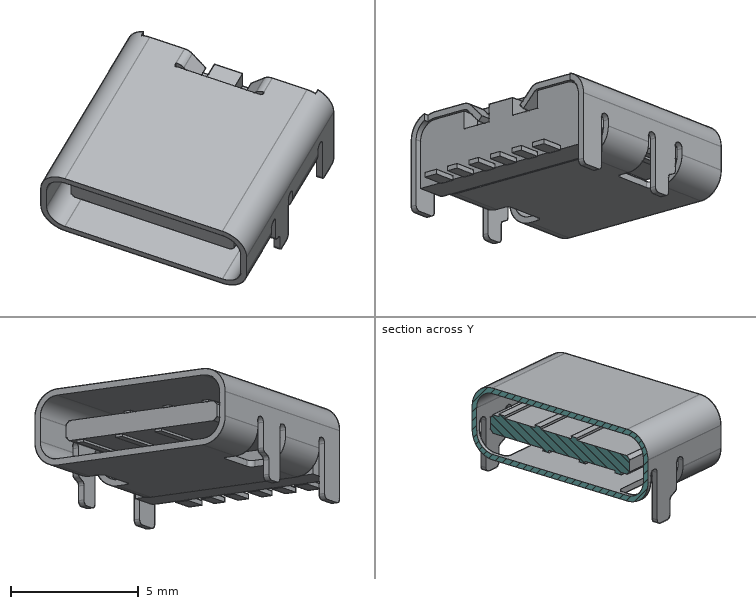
import cadquery as cq
import math

SHELL_WIDTH = 8.85
SHELL_HEIGHT = 3.065
SHELL_DEPTH = 8.37
SHELL_RADIUS = 1.04
SHEET = 0.26
SHELL_HALF = SHELL_WIDTH / 2

ROOF_END = 8.15
ROOF_CUT_HALF = 3.74
FLOOR_END = 6.86

LEG_BOTTOM = -0.91
SLOT_WIDTH = 0.4
SLOT_RADIUS = SLOT_WIDTH / 2
SLOT_TOP = 1.51
LEG_RADIUS = 0.2
REAR_LEG_FRONT = FLOOR_END + SLOT_WIDTH
WINDOW_FRONT = 2.39
WINDOW_REAR = 4.41
WINDOW_LENGTH = 1.65
WINDOW_RADIUS = 0.22
FRONT_LEG_FRONT = WINDOW_FRONT + SLOT_WIDTH
FRONT_LEG_REAR = WINDOW_REAR - SLOT_WIDTH
SHOULDER_WIDTH = 0.4
SHOULDER_TOP = 0.17
SHOULDER_BOTTOM = -0.01
SHOULDER_RADIUS = 0.165

NOTCH_HALF = 1.885
NOTCH_FRONT = 7.16
NOTCH_RADIUS = 0.06
TAB_FRONT = 7.34
TAB_END_X = 0.97
TAB_ANGLE = math.radians(45)
TAB_BEND_INNER = 0.21
TAB_BEND_OUTER = TAB_BEND_INNER + SHEET

INSERT_HALF = 4.13
INSERT_TOP = 2.745
INSERT_BOTTOM = 0.28
INSERT_RADIUS = 0.75
BASE_FRONT = 6.22
REAR_BLOCK_FRONT = 6.88
REAR_BLOCK_BOTTOM = 0.04
RIB_HALF = 0.6
POCKET_FLOOR = 2.01

TONGUE_WIDTH = 7.01
TONGUE_FRONT = 0.84
TONGUE_BOTTOM = 1.135
TONGUE_TOP = 1.94
TONGUE_CHAMFER = 0.15

CONTACT_WIDTH = 0.31
CONTACT_HEIGHT = 0.1
CONTACT_FRONT = TONGUE_FRONT + 0.09
TOP_CONTACT_XS = (-0.71, 1.11, 2.91)

PIN_END = 9.15
PIN_THICKNESS = 0.19
NARROW_PIN_WIDTH = 0.485
NARROW_PIN_XS = (-1.65, -0.55, 0.55, 1.65)
WIDE_PIN_WIDTH = 0.595
WIDE_PIN_XS = (-2.76, 2.76)


def box(x0, x1, y0, y1, z0, z1):
    """Box between two opposite corners."""
    return cq.Workplane("XY").box(x1 - x0, y1 - y0, z1 - z0, centered=False).translate((x0, y0, z0))


def rounded_bar(half_width, z0, z1, radius, y0, y1):
    """Bar along Y with a rounded rectangular section."""
    return box(-half_width, half_width, y0, y1, z0, z1).edges("|Y").fillet(radius)


def mirrored_pair(body):
    """A body together with its mirror image across the middle plane X = 0."""
    return body.union(body.mirror("YZ"))


def relief_slot(front):
    """Round-topped cutter through the right side wall, open downwards."""
    wall_x = SHELL_HALF - SHELL_RADIUS
    arc_z = SLOT_TOP - SLOT_RADIUS
    return (
        cq.Workplane("YZ", origin=(wall_x, 0, 0))
        .moveTo(front, 0)
        .lineTo(front, arc_z)
        .threePointArc((front + SLOT_RADIUS, SLOT_TOP), (front + SLOT_WIDTH, arc_z))
        .lineTo(front + SLOT_WIDTH, 0)
        .close()
        .extrude(SHELL_RADIUS)
    )


def floor_window():
    """Cutter for the lower right corner and floor strip that the front leg is bent from."""
    return (
        box(SHELL_HALF - WINDOW_LENGTH, SHELL_HALF, WINDOW_FRONT, WINDOW_REAR, 0, SHELL_RADIUS)
        .edges("|Z and <X").fillet(WINDOW_RADIUS)
    )


def rear_leg():
    """Right rear leg, a flat strip carrying the side wall down."""
    return (
        box(SHELL_HALF - SHEET, SHELL_HALF, REAR_LEG_FRONT, SHELL_DEPTH, LEG_BOTTOM, SHELL_RADIUS)
        .edges("|X and <Z").fillet(LEG_RADIUS)
    )


def front_leg():
    """Right front leg, narrowed on its front edge by a sloping shoulder with rounded corners."""
    tip_front = FRONT_LEG_FRONT + SHOULDER_WIDTH
    shoulder_corners = cq.selectors.BoxSelector(
        (0, FRONT_LEG_FRONT - SHOULDER_RADIUS, SHOULDER_BOTTOM - SHOULDER_RADIUS),
        (SHELL_HALF, tip_front + SHOULDER_RADIUS, SHOULDER_TOP + SHOULDER_RADIUS),
    )
    return (
        cq.Workplane("YZ", origin=(SHELL_HALF - SHEET, 0, 0))
        .moveTo(FRONT_LEG_REAR, SHELL_RADIUS)
        .lineTo(FRONT_LEG_FRONT, SHELL_RADIUS)
        .lineTo(FRONT_LEG_FRONT, SHOULDER_TOP)
        .lineTo(tip_front, SHOULDER_BOTTOM)
        .lineTo(tip_front, LEG_BOTTOM)
        .lineTo(FRONT_LEG_REAR, LEG_BOTTOM)
        .close()
        .extrude(SHEET)
        .edges("|X").edges(shoulder_corners).fillet(SHOULDER_RADIUS)
        .edges("|X and <Z").fillet(LEG_RADIUS)
    )


def roof_tab():
    """Right roof tab, bent down from the notch side towards the middle."""
    bend_z = SHELL_HEIGHT - TAB_BEND_OUTER

    def on_bend(radius, angle):
        return (NOTCH_HALF - radius * math.sin(angle), bend_z + radius * math.cos(angle))

    bend_end_x, bend_end_z = on_bend(TAB_BEND_OUTER, TAB_ANGLE)
    tip_top = (TAB_END_X, bend_end_z - (bend_end_x - TAB_END_X) * math.tan(TAB_ANGLE))
    tip_bottom = (tip_top[0] + SHEET * math.sin(TAB_ANGLE), tip_top[1] - SHEET * math.cos(TAB_ANGLE))
    return (
        cq.Workplane("XZ", origin=(0, ROOF_END, 0))
        .moveTo(*on_bend(TAB_BEND_OUTER, 0))
        .threePointArc(on_bend(TAB_BEND_OUTER, TAB_ANGLE / 2), (bend_end_x, bend_end_z))
        .lineTo(*tip_top)
        .lineTo(*tip_bottom)
        .lineTo(*on_bend(TAB_BEND_INNER, TAB_ANGLE))
        .threePointArc(on_bend(TAB_BEND_INNER, TAB_ANGLE / 2), on_bend(TAB_BEND_INNER, 0))
        .close()
        .extrude(ROOF_END - TAB_FRONT)
    )


def make_shell():
    tube = rounded_bar(SHELL_HALF, 0, SHELL_HEIGHT, SHELL_RADIUS, 0, SHELL_DEPTH)
    bore = rounded_bar(
        SHELL_HALF - SHEET, SHEET, SHELL_HEIGHT - SHEET, SHELL_RADIUS - SHEET, 0, SHELL_DEPTH
    )
    shell = tube.cut(bore)

    mid_z = SHELL_HEIGHT / 2
    shell = shell.cut(box(-ROOF_CUT_HALF, ROOF_CUT_HALF, ROOF_END, SHELL_DEPTH, mid_z, SHELL_HEIGHT))
    shell = shell.cut(box(-SHELL_HALF, SHELL_HALF, FLOOR_END, SHELL_DEPTH, 0, SHELL_RADIUS))

    shell = shell.cut(mirrored_pair(floor_window()))
    for slot_front in (WINDOW_FRONT, FRONT_LEG_REAR, FLOOR_END):
        shell = shell.cut(mirrored_pair(relief_slot(slot_front)))
    shell = shell.union(mirrored_pair(rear_leg()))
    shell = shell.union(mirrored_pair(front_leg()))

    notch = (
        box(-NOTCH_HALF, NOTCH_HALF, NOTCH_FRONT, ROOF_END, SHELL_HEIGHT - SHEET, SHELL_HEIGHT)
        .edges("|Z and <Y").fillet(NOTCH_RADIUS)
    )
    return shell.cut(notch).union(mirrored_pair(roof_tab()))


def make_base():
    """Base inside the shell, with a square-cornered rear block between the rear legs."""
    base = rounded_bar(INSERT_HALF, INSERT_BOTTOM, INSERT_TOP, INSERT_RADIUS, BASE_FRONT, ROOF_END)
    middle_z = (INSERT_BOTTOM + INSERT_TOP) / 2
    base = base.union(
        box(-INSERT_HALF, INSERT_HALF, REAR_BLOCK_FRONT, ROOF_END, REAR_BLOCK_BOTTOM, middle_z)
    )
    pocket = box(RIB_HALF, NOTCH_HALF, TAB_FRONT, ROOF_END, POCKET_FLOOR, INSERT_TOP)
    return base.cut(mirrored_pair(pocket))


def make_insert():
    insert = make_base()

    tongue = (
        box(-TONGUE_WIDTH / 2, TONGUE_WIDTH / 2, TONGUE_FRONT, BASE_FRONT, TONGUE_BOTTOM, TONGUE_TOP)
        .edges("|Y").chamfer(TONGUE_CHAMFER)
    )
    insert = insert.union(tongue)

    half_contact = CONTACT_WIDTH / 2
    for x in TOP_CONTACT_XS:
        insert = insert.union(box(
            x - half_contact, x + half_contact, CONTACT_FRONT, BASE_FRONT,
            TONGUE_TOP, TONGUE_TOP + CONTACT_HEIGHT,
        ))
        insert = insert.union(box(
            -x - half_contact, -x + half_contact, CONTACT_FRONT, BASE_FRONT,
            TONGUE_BOTTOM - CONTACT_HEIGHT, TONGUE_BOTTOM,
        ))

    for xs, width in ((NARROW_PIN_XS, NARROW_PIN_WIDTH), (WIDE_PIN_XS, WIDE_PIN_WIDTH)):
        for x in xs:
            insert = insert.union(box(x - width / 2, x + width / 2, ROOF_END, PIN_END, 0, PIN_THICKNESS))
    return insert


shell = make_shell()
insert = make_insert()
result = cq.Compound.makeCompound([shell.solids().val(), insert.solids().val()])